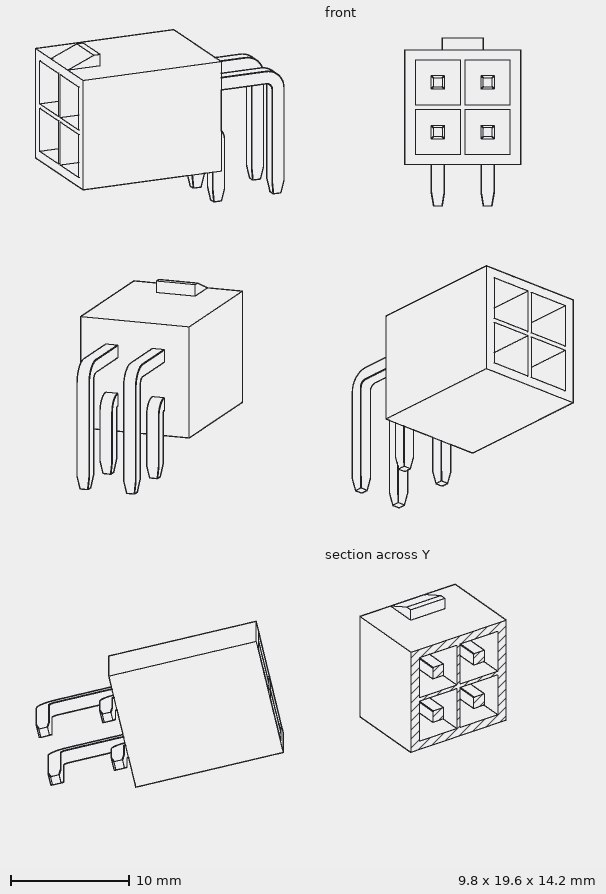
import cadquery as cq

housing_width = 9.8
housing_height = 9.7
housing_depth = 12.8
housing_bottom = -housing_height / 2
housing_top = housing_height / 2

pitch = 4.2
cavity_size = 3.81
cavity_depth = 10.0

latch_width = 3.5
latch_height = 1.0
latch_length = 3.0
latch_flat = 0.59

pin_size = 1.14
pin_edge_chamfer = 0.05
tip_size = 0.75
tip_length = 1.14
tip_setback = 4.0
tail_length = 3.5
rear_face = 19.64
row_spacing = 5.5
upper_bend_radius = 1.69
lower_bend_radius = 1.35

columns = (-pitch / 2, pitch / 2)
upper_row = pitch / 2
lower_row = -pitch / 2
tail_end = housing_bottom - tail_length


def centred_box(x, z, width, height, y_start, y_end):
    """Box along Y with its section centred on (x, z)."""
    return (
        cq.Workplane("XY")
        .box(width, y_end - y_start, height, centered=(True, False, True))
        .translate((x, y_start, z))
    )


def make_housing():
    housing = centred_box(0, 0, housing_width, housing_height, 0, housing_depth)
    for x in columns:
        for z in (lower_row, upper_row):
            housing = housing.cut(centred_box(x, z, cavity_size, cavity_size, 0, cavity_depth))
    return housing


def make_latch():
    latch_top = housing_top + latch_height
    return (
        cq.Workplane("YZ")
        .moveTo(0, housing_top)
        .lineTo(latch_length - latch_flat, latch_top)
        .lineTo(latch_length, latch_top)
        .lineTo(latch_length, housing_top)
        .close()
        .extrude(latch_width / 2, both=True)
    )


def pin_section(size):
    """Square section with chamfered corners."""
    return cq.Sketch().rect(size, size).vertices().chamfer(pin_edge_chamfer)


def make_tip(origin, normal):
    """Tapered end that starts full size at the origin and narrows along the normal."""
    base_plane = cq.Plane(origin=origin, xDir=(1, 0, 0), normal=normal)
    end_location = cq.Location(cq.Vector(0, 0, tip_length))
    end = pin_section(tip_size).moved(end_location)
    return cq.Workplane(base_plane).placeSketch(pin_section(pin_size), end).loft()


def make_pin(x, z, tail_rear, bend_radius):
    """Pin from the cavity at (x, z), bent down into a solder tail ending at tail_end."""
    tail_y = tail_rear - pin_size / 2
    path_radius = bend_radius - pin_size / 2
    shaft_start = tip_setback + tip_length
    tail_taper = tail_end + tip_length
    path = (
        cq.Workplane("YZ", origin=(x, 0, 0))
        .moveTo(shaft_start, z)
        .lineTo(tail_y - path_radius, z)
        .tangentArcPoint((tail_y, z - path_radius), relative=False)
        .lineTo(tail_y, tail_taper)
    )
    shaft_plane = cq.Plane(origin=(x, shaft_start, z), xDir=(1, 0, 0), normal=(0, 1, 0))
    shaft = cq.Workplane(shaft_plane).placeSketch(pin_section(pin_size)).sweep(path)
    mating_tip = make_tip((x, shaft_start, z), (0, -1, 0))
    solder_tip = make_tip((x, tail_y, tail_taper), (0, 0, -1))
    return shaft.union(mating_tip).union(solder_tip)


result = make_housing().union(make_latch())
for column in columns:
    result = result.union(make_pin(column, upper_row, rear_face, upper_bend_radius))
    result = result.union(make_pin(column, lower_row, rear_face - row_spacing, lower_bend_radius))